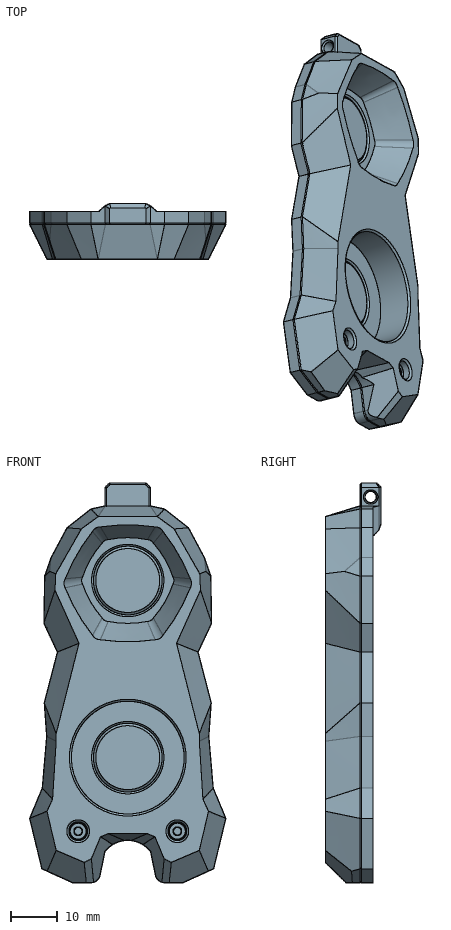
import cadquery as cq
import math

cover_depth = 7.5
plate_back = 10.3
tab_back = 12.0
total_height = 85.9
edge_chamfer = 0.35

top_edge_z = 81.0
overall_width = 42.2
widest_point = (overall_width / 2, 13.8)
side_outline = [
    (4.8, top_edge_z),
    (7.9, 80.35),
    (13.1, 76.3),
    (16.5, 69.9),
    (17.9, 65.9),
    (18.05, 55.8),
    (15.1, 49.6),
    (18.0, 38.7),
    (17.45, 31.45),
    (18.4, 20.4),
    widest_point,
    (18.5, 3.0),
    (11.9, 0.0),
]
foot_inner_x = 6.3
foot_corner_radius = 2.1
arch_half_width = 4.9
arch_spring_z = 6.7
arch_top_z = 9.1

front_outline = [
    (6.4, 78.7),
    (10.0, 76.05),
    (15.5, 66.4),
    (15.6, 62.9),
    (10.5, 51.5),
    (15.4, 32.05),
    (15.4, 30.4),
    (16.15, 18.0),
    (17.4, 15.4),
    (15.4, 7.0),
    (9.4, 4.4),
    (7.8, 5.15),
    (5.85, 9.9),
    (4.2, 10.6),
]
foot_facet_ends = [(18.0, 1.0), (8.6, -2.9), (7.1, -2.2), (2.75, 7.9), (0.6, 9.0)]
shoulder_ridge_depth = 4.1
bevel_knife_width = 17.2
bevel_knife_thickness = 1.7

upper_centre_z = 65.0
lower_centre_z = 26.9
lower_bowl_diameter = 24.2
lower_bowl_chamfer = 0.4
hexagon_front_z = 64.4
hexagon_front_radius = 14.0
hexagon_front_cut = 1.1
hexagon_floor_radius = 10.1
hexagon_floor_cut = 0.9
hexagon_bulge = 0.4
disc_diameter = 14.8
disc_chamfer = 0.5
disc_seat_chamfer = 0.39

screw_x = 10.65
screw_z = 11.1
head_diameter = 3.8
head_top = 1.7
head_height = 2.0
shaft_diameter = 2.0
head_chamfer = 0.2
socket_diameter = 1.6
socket_rim_diameter = 1.9
socket_depth = 1.0
counterbore_diameter = 4.0
counterbore_chamfer = 0.4

tab_half_width = 4.9
tab_top_chamfer = 0.95
tab_root_z = 79.9
tab_bevel_y = 11.5
tab_flat_half_width = 3.9
tab_hole_diameter = 2.4
tab_hole_chamfer = 0.35
tab_hole_y = (cover_depth + tab_back) / 2
tab_hole_z = 82.9
swelling_levels = [
    (plate_back, 6.3, 74.5),
    (tab_bevel_y, tab_half_width, 75.8),
    (tab_back, tab_flat_half_width, 77.2),
]


def mirrored(points):
    """Close a right-half chain with its mirror image about the YZ plane."""
    return points + [(-x, z) for x, z in reversed(points)]


def front_plane(y):
    """A workplane at depth y whose local axes are X and Z and which extrudes toward the front."""
    return cq.Workplane("XZ", origin=(0, y, 0))


def cylinder(x, z, diameter, y_start, y_end):
    return front_plane(y_end).center(x, z).circle(diameter / 2).extrude(y_end - y_start)


def cone(x, z, start_radius, end_radius, y_start, y_end):
    axis = cq.Vector(0, 1, 0)
    return cq.Workplane(cq.Solid.makeCone(start_radius, end_radius, y_end - y_start,
                                          cq.Vector(x, y_start, z), axis))


def outline_prism(y_start, y_end):
    """The outline shared by cover and plate, extruded between two depths."""
    depth = y_end - y_start
    body = front_plane(y_end).polyline(mirrored(side_outline)).close().extrude(depth)
    arch = (
        front_plane(y_end)
        .moveTo(foot_inner_x, 0)
        .lineTo(arch_half_width, arch_spring_z)
        .threePointArc((0, arch_top_z), (-arch_half_width, arch_spring_z))
        .lineTo(-foot_inner_x, 0)
        .close()
        .extrude(depth)
    )
    body = body.cut(arch)
    for side in (-1, 1):
        corner = cq.selectors.NearestToPointSelector((side * foot_inner_x, (y_start + y_end) / 2, 0))
        body = body.edges("|Y").edges(corner).fillet(foot_corner_radius)
    return body


def line_crossing(a, b, c, d):
    """Where the line through a and b meets the line through c and d."""
    ux, uz = b[0] - a[0], b[1] - a[1]
    vx, vz = d[0] - c[0], d[1] - c[1]
    t = ((c[0] - a[0]) * vz - (c[1] - a[1]) * vx) / (ux * vz - uz * vx)
    return (a[0] + t * ux, a[1] + t * uz)


def at_depth(point, y):
    return cq.Vector(point[0], y, point[1])


def facet(front_a, front_b, rear_a, rear_b):
    """One side face between a front edge and a rear edge; equal front points give a triangle."""
    rear = cq.Edge.makeLine(at_depth(rear_a, cover_depth), at_depth(rear_b, cover_depth))
    if front_a == front_b:
        corners = [at_depth(front_a, 0), at_depth(rear_a, cover_depth), at_depth(rear_b, cover_depth)]
        return cq.Face.makeFromWires(cq.Wire.makePolygon(corners, close=True))
    return cq.Face.makeRuledSurface(cq.Edge.makeLine(at_depth(front_a, 0), at_depth(front_b, 0)), rear)


def flat_face(points, y):
    return cq.Face.makeFromWires(cq.Wire.makePolygon([at_depth(p, y) for p in points], close=True))


def faceted_block():
    """The cover's drafted facets, with a sharp ridge at each shoulder, and the shoulder bevels."""
    top, top_corner, brow, shoulder_high, shoulder_low, side = side_outline[:6]
    shoulder = line_crossing(brow, shoulder_high, shoulder_low, side)
    lower_side = side_outline[5:side_outline.index(widest_point) + 1]
    rear_ring = mirrored([top, top_corner, brow, shoulder] + lower_side + foot_facet_ends)
    front_ring = mirrored(front_outline[:1] + front_outline)
    faces = []
    for i in range(len(front_ring)):
        faces.append(facet(front_ring[i - 1], front_ring[i], rear_ring[i - 1], rear_ring[i]))
    faces.append(flat_face(mirrored(front_outline), 0))
    faces.append(flat_face(rear_ring, cover_depth))
    block = cq.Workplane(cq.Solid.makeSolid(cq.Shell.makeShell(faces)))

    ridge_front = front_outline[2]
    t = shoulder_ridge_depth / cover_depth
    run_out = [f + t * (r - f) for f, r in zip(ridge_front, shoulder)]
    apex = at_depth(run_out, shoulder_ridge_depth)
    high, low = at_depth(shoulder_high, cover_depth), at_depth(shoulder_low, cover_depth)
    outward = (high - low).cross(apex - low)
    knife_plane = cq.Plane(origin=apex.toTuple(), xDir=(high - low).toTuple(), normal=outward.toTuple())
    knife = cq.Workplane(knife_plane).rect(bevel_knife_width, bevel_knife_width)
    knife = knife.extrude(bevel_knife_thickness)
    return block.cut(knife).cut(knife.mirror("YZ"))


def bulged_hexagon(y, centre_z, radius, cut):
    """A hexagon with its points at the sides, bulging edges and rounded corners."""
    def polar(r, degrees):
        a = math.radians(degrees)
        return (r * math.cos(a), centre_z + r * math.sin(a))

    apothem = radius * math.cos(math.pi / 6)
    corner_sagitta = cut * math.tan(math.pi / 3) * (2 / math.sqrt(3) - 1)
    share = cut / radius
    corners = [polar(radius, 60 * i) for i in range(6)]

    def along(a, b, s):
        return (a[0] + s * (b[0] - a[0]), a[1] + s * (b[1] - a[1]))

    sketch = front_plane(y).moveTo(*along(corners[0], corners[1], share))
    for i in range(6):
        here, there, beyond = corners[i], corners[(i + 1) % 6], corners[(i + 2) % 6]
        sketch = sketch.threePointArc(polar(apothem + hexagon_bulge, 60 * i + 30), along(there, here, share))
        sketch = sketch.threePointArc(polar(radius - corner_sagitta, 60 * i + 60), along(there, beyond, share))
    return sketch.close().wires().val()


def make_cover():
    cover = faceted_block().intersect(outline_prism(0, cover_depth))
    bowl = cq.Solid.makeLoft([
        bulged_hexagon(0, hexagon_front_z, hexagon_front_radius, hexagon_front_cut),
        bulged_hexagon(cover_depth, upper_centre_z, hexagon_floor_radius, hexagon_floor_cut),
    ], True)
    cover = cover.cut(cq.Workplane(bowl))
    cover = cover.cut(cylinder(0, lower_centre_z, lower_bowl_diameter, 0, cover_depth))
    bowl_radius = lower_bowl_diameter / 2
    cover = cover.cut(cone(0, lower_centre_z, bowl_radius + lower_bowl_chamfer, bowl_radius,
                           0, lower_bowl_chamfer))
    bore_radius = counterbore_diameter / 2
    for x in (-screw_x, screw_x):
        cover = cover.cut(cylinder(x, screw_z, counterbore_diameter, 0, head_top + head_height))
        cover = cover.cut(cone(x, screw_z, bore_radius + counterbore_chamfer, bore_radius,
                               0, counterbore_chamfer))
        cover = cover.cut(cylinder(x, screw_z, shaft_diameter, 0, cover_depth))
    return cover


def make_tab():
    tab = (
        cq.Workplane("XY", origin=(0, 0, tab_root_z))
        .polyline([
            (-tab_half_width, cover_depth),
            (tab_half_width, cover_depth),
            (tab_half_width, tab_bevel_y),
            (tab_flat_half_width, tab_back),
            (-tab_flat_half_width, tab_back),
            (-tab_half_width, tab_bevel_y),
        ])
        .close()
        .extrude(total_height - tab_root_z)
    )
    return tab.faces(">Z").edges("not(<Y)").chamfer(tab_top_chamfer)


def make_swelling():
    """The bevelled pad behind the tab, flush with the plate's top outline."""
    wires = []
    for y, half, low in swelling_levels:
        corners = [(-half, low), (half, low), (half, total_height), (-half, total_height)]
        wires.append(front_plane(y).polyline(corners).close().wires().val())
    pad = cq.Workplane(cq.Solid.makeLoft(wires, True))
    return pad.intersect(outline_prism(plate_back, tab_back))


def make_plate():
    plate = outline_prism(cover_depth, plate_back).union(make_swelling()).union(make_tab())
    plate = plate.faces("<Y").edges().chamfer(edge_chamfer)
    seat_radius = disc_diameter / 2
    for z in (upper_centre_z, lower_centre_z):
        plate = plate.cut(cylinder(0, z, disc_diameter, cover_depth, plate_back))
        plate = plate.cut(cone(0, z, seat_radius + disc_seat_chamfer, seat_radius,
                               cover_depth, cover_depth + disc_seat_chamfer))
    for x in (-screw_x, screw_x):
        plate = plate.cut(cylinder(x, screw_z, shaft_diameter, cover_depth, plate_back))
    tab_hole = (
        cq.Workplane("YZ", origin=(-tab_half_width, 0, 0))
        .center(tab_hole_y, tab_hole_z)
        .circle(tab_hole_diameter / 2)
        .extrude(2 * tab_half_width)
    )
    plate = plate.cut(tab_hole)
    rim = tab_hole_diameter / 2 + tab_hole_chamfer
    for side in (-1, 1):
        start = cq.Vector(side * tab_half_width, tab_hole_y, tab_hole_z)
        sink = cq.Solid.makeCone(rim, rim - tab_hole_chamfer, tab_hole_chamfer, start, cq.Vector(-side, 0, 0))
        plate = plate.cut(cq.Workplane(sink))
    return plate


def make_disc(z):
    disc = cylinder(0, z, disc_diameter, cover_depth, plate_back)
    return disc.faces("<Y").edges().chamfer(disc_chamfer)


def make_screw(x):
    head_bottom = head_top + head_height
    screw = cylinder(x, screw_z, head_diameter, head_top, head_bottom)
    screw = screw.faces("<Y").edges().chamfer(head_chamfer)
    screw = screw.union(cylinder(x, screw_z, shaft_diameter, head_bottom, plate_back))
    screw = screw.cut(cylinder(x, screw_z, socket_diameter, head_top, head_top + socket_depth))
    rim_radius, socket_radius = socket_rim_diameter / 2, socket_diameter / 2
    rim_depth = rim_radius - socket_radius
    return screw.cut(cone(x, screw_z, rim_radius, socket_radius, head_top, head_top + rim_depth))


cover = make_cover()
plate = make_plate()
discs = [make_disc(z) for z in (upper_centre_z, lower_centre_z)]
screws = [make_screw(x) for x in (-screw_x, screw_x)]

result = cq.Compound.makeCompound(
    [cover.val(), plate.val()] + [disc.val() for disc in discs] + [screw.val() for screw in screws]
)